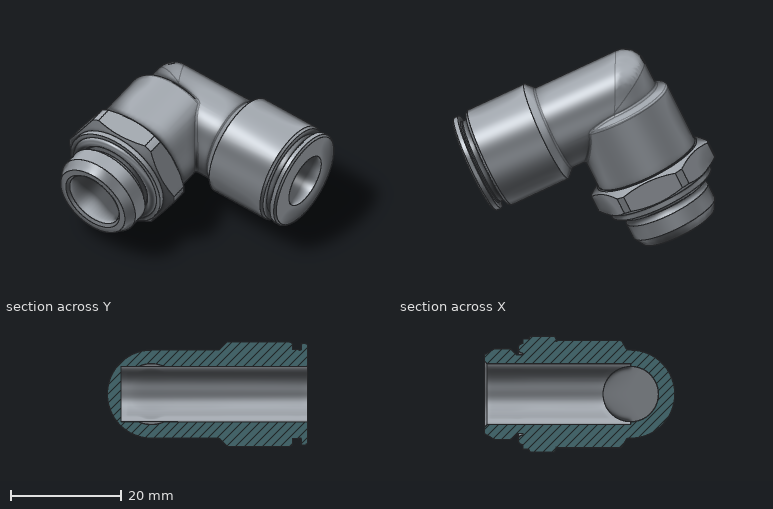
import cadquery as cq
import math


elbow_radius = 8.0
corner_tangent = elbow_radius / 2
corner_steps = 8
empty_face_area = 0.01
blend_radius = 0.5
pick_margin = 0.1

sleeve_radius = 9.75
sleeve_shoulder_y = -0.65
sleeve_shoulder_angle = 30.0
sleeve_foot_chamfer = 0.2

hex_top_y = -13.5
hex_height = 5.0
hex_across_flats = 21.0
hex_corner_radius = 11.71
hex_chamfer_angle = 30.0
hex_face_radius = 10.0

flange_radius = hex_face_radius
flange_height = 1.0
o_ring_tube_radius = 0.9
o_ring_centre_radius = 8.3
neck_radius = 7.15
neck_height = 1.15
thread_radius = 8.25
thread_chamfer_height = 1.8
thread_end_radius = 7.2
leg_end_y = -26.5

socket_radius = 9.5
socket_start_x = 12.23
socket_end_x = 25.56
socket_chamfer_length = 0.5
socket_chamfer_depth = 0.3
socket_neck_radius = 8.1
notch_start_x = 26.6
notch_bottom_x = 26.87
notch_depth = 0.15
collar_start_x = 27.1
collar_radius = 9.25
collar_chamfer = 0.35
arm_end_x = 28.3

leg_bore_radius = 5.5
arm_bore_radius = 5.0
leg_mouth_chamfer = 0.5

hex_bottom_y = hex_top_y - hex_height
flange_bottom_y = hex_bottom_y - flange_height
thread_start_y = flange_bottom_y - neck_height


def revolve_about_x(points):
    """Revolve an outline of (x, radius) points about the arm axis."""
    return cq.Workplane("XY").polyline(points).close().revolve(360, (0, 0, 0), (1, 0, 0))


def revolve_about_y(points):
    """Revolve an outline of (radius, y) points about the leg axis."""
    return cq.Workplane("XY").polyline(points).close().revolve(360, (0, 0, 0), (0, 1, 0))


def corner_distance(angle):
    """Distance from the Z axis to the corner arc at mid height, at an angle from -X towards +Y."""
    arc_radius = elbow_radius - corner_tangent
    along = corner_tangent * (math.cos(angle) + math.sin(angle))
    return along + math.sqrt(along**2 - 2 * corner_tangent**2 + arc_radius**2)


def corner_section(angle):
    """Half ellipse standing on the Z axis, closed by its chord."""
    outward = cq.Vector(-math.cos(angle), math.sin(angle), 0)
    normal = outward.cross(cq.Vector(0, 0, 1))
    curve = cq.Edge.makeEllipse(
        corner_distance(angle), elbow_radius, cq.Vector(), normal, outward, 270, 90
    )
    chord = cq.Edge.makeLine(curve.endPoint(), curve.startPoint())
    return cq.Wire.assembleEdges([curve, chord])


def corner_rounding():
    """Rounded part of the outer corner, shrinking to nothing on the Z axis."""
    first = math.atan2(corner_tangent, elbow_radius)
    span = math.pi / 2 - 2 * first
    angles = [first + span * i / corner_steps for i in range(corner_steps + 1)]
    loft = cq.Solid.makeLoft([corner_section(angle) for angle in angles])
    faces = [face for face in loft.Faces() if face.Area() > empty_face_area]
    return cq.Workplane(cq.Solid.makeSolid(cq.Shell.makeShell(faces)))


def corner_wedge(points):
    """Wedge with its edge on the Z axis, tall enough to hold the elbow."""
    return cq.Workplane("XY").polyline([(0, 0)] + points).close().extrude(elbow_radius, both=True)


def add_elbow_corner(body):
    """Run both elbow cylinders past the Z axis up to the rounded outer corner."""
    r = elbow_radius
    arm_stub = cq.Workplane("YZ").circle(r).extrude(-r)
    leg_stub = cq.Workplane("XZ").circle(r).extrude(-r)
    arm_side = arm_stub.intersect(corner_wedge([(0, r), (-corner_tangent, r)]))
    leg_side = leg_stub.intersect(corner_wedge([(-r, corner_tangent), (-r, 0)]))
    return body.union(arm_side).union(leg_side).union(corner_rounding())


def arm_body():
    """Straight arm with the tube socket, its release collar and the notch between them."""
    cone_length = socket_radius - elbow_radius
    socket_chamfer_x = socket_end_x - socket_chamfer_length
    body = revolve_about_x([
        (0, 0),
        (0, elbow_radius),
        (socket_start_x, elbow_radius),
        (socket_start_x + cone_length, socket_radius),
        (socket_chamfer_x, socket_radius),
        (socket_end_x, socket_radius - socket_chamfer_depth),
        (socket_end_x, socket_neck_radius),
        (notch_start_x, socket_neck_radius),
        (notch_bottom_x, socket_neck_radius - notch_depth),
        (collar_start_x, socket_neck_radius),
        (collar_start_x, collar_radius),
        (arm_end_x - collar_chamfer, collar_radius),
        (arm_end_x, collar_radius - collar_chamfer),
        (arm_end_x, 0),
    ])
    cone_foot = cq.selectors.BoxSelector(
        (socket_start_x - pick_margin, -socket_radius, -socket_radius),
        (socket_start_x + pick_margin, socket_radius, socket_radius),
    )
    return body.edges(cone_foot).fillet(blend_radius)


def sleeve():
    """Sleeve around the leg, with a conical shoulder below the elbow."""
    slope = math.tan(math.radians(sleeve_shoulder_angle))
    shoulder_height = (sleeve_radius - elbow_radius) * slope
    return revolve_about_y([
        (0, 0),
        (elbow_radius, 0),
        (elbow_radius, sleeve_shoulder_y),
        (sleeve_radius, sleeve_shoulder_y - shoulder_height),
        (sleeve_radius, hex_top_y + sleeve_foot_chamfer),
        (sleeve_radius - sleeve_foot_chamfer, hex_top_y),
        (0, hex_top_y),
    ])


def blended_arm_and_sleeve():
    """Arm and sleeve joined, with the sleeve shoulder and its junction with the arm blended."""
    body = arm_body().union(sleeve())
    shoulder_and_junction = cq.selectors.BoxSelector(
        (-sleeve_radius, -elbow_radius, -sleeve_radius),
        (sleeve_radius, sleeve_shoulder_y + pick_margin, sleeve_radius),
    )
    return body.edges(shoulder_and_junction).fillet(blend_radius)


def hexagon():
    """Hexagon with its corners turned down and both faces chamfered."""
    across_corners = hex_across_flats / math.cos(math.pi / 6)
    prism = (
        cq.Workplane("XZ", origin=(0, hex_top_y, 0))
        .polygon(6, across_corners)
        .extrude(hex_height)
    )
    chamfer = (hex_corner_radius - hex_face_radius) * math.tan(math.radians(hex_chamfer_angle))
    envelope = revolve_about_y([
        (0, hex_top_y),
        (hex_face_radius, hex_top_y),
        (hex_corner_radius, hex_top_y - chamfer),
        (hex_corner_radius, hex_bottom_y + chamfer),
        (hex_face_radius, hex_bottom_y),
        (0, hex_bottom_y),
    ])
    return prism.intersect(envelope)


def thread_end():
    """Seal flange, undercut neck and plain thread cylinder."""
    return revolve_about_y([
        (0, hex_bottom_y),
        (flange_radius, hex_bottom_y),
        (flange_radius, flange_bottom_y),
        (neck_radius, flange_bottom_y),
        (neck_radius, thread_start_y),
        (thread_radius, thread_start_y - (thread_radius - neck_radius)),
        (thread_radius, leg_end_y + thread_chamfer_height),
        (thread_end_radius, leg_end_y),
        (0, leg_end_y),
    ])


def o_ring():
    """O-ring half sunk in the underside of the flange."""
    return (
        cq.Workplane("XY")
        .center(o_ring_centre_radius, flange_bottom_y)
        .circle(o_ring_tube_radius)
        .revolve(360, (-o_ring_centre_radius, 0, 0), (-o_ring_centre_radius, 1, 0))
    )


def bores():
    """Leg bore with a chamfered mouth, meeting the bore that runs through the arm."""
    mouth_radius = leg_bore_radius + leg_mouth_chamfer
    leg = revolve_about_y([
        (0, 0),
        (leg_bore_radius, 0),
        (leg_bore_radius, leg_end_y + leg_mouth_chamfer),
        (mouth_radius, leg_end_y),
        (0, leg_end_y),
    ])
    arm_length = arm_end_x + leg_bore_radius
    arm = cq.Workplane("YZ", origin=(-leg_bore_radius, 0, 0)).circle(arm_bore_radius).extrude(arm_length)
    return leg.union(arm)


result = add_elbow_corner(blended_arm_and_sleeve())
for part in (hexagon(), thread_end(), o_ring()):
    result = result.union(part)
result = result.cut(bores())